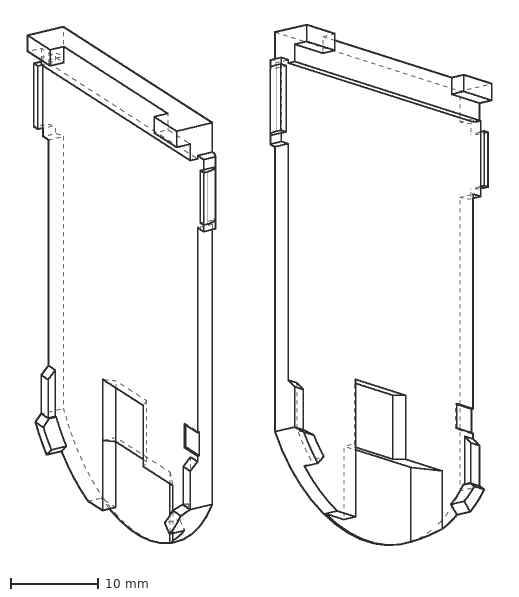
import cadquery as cq
import math

height = 57.1
width = 32.7
half_width = width / 2
plate_depth = 2.0

shoulder_z = 9.6
end_radius = (half_width**2 + shoulder_z**2) / (2 * shoulder_z)

head_height = 4.05
head_depth = 2.95
foot_height = 2.0
foot_width = 4.95
foot_depth = 4.8

clip_reach = 2.1
clip_radius = 2.0
flange_top = 53.4

recess_left = -4.45
recess_floor = 0.2
recess_top = 10.4
deep_ramp_start = 7.4
deep_ramp_end = 10.9
end_relief_top = 1.65
shallow_right = 4.45
shallow_top = 18.0
shallow_depth = 1.1

notch_size = 2.9
notch_bottom = 16.05
notch_depth = 0.2

rib_width = 1.55
rib_depth = 2.95
rib_top = 15.35
lug_thickness = 1.5
lug_depth = 4.0
lug_slope_height = 0.7
lug_end_angle = math.radians(46)


def box(x_min, x_max, y_min, y_max, z_min, z_max):
    size = (x_max - x_min, y_max - y_min, z_max - z_min)
    return cq.Workplane("XY").box(*size, centered=False).translate((x_min, y_min, z_min))


def prism_along_z(points, z_min, z_max):
    profile = cq.Workplane("XY", origin=(0, 0, z_min)).polyline(points).close()
    return profile.extrude(z_max - z_min)


def prism_along_x(points, x_min, x_max):
    profile = cq.Workplane("YZ", origin=(x_min, 0, 0)).polyline(points).close()
    return profile.extrude(x_max - x_min)


def make_plate():
    outline = (
        cq.Workplane("XZ")
        .moveTo(-half_width, height)
        .lineTo(-half_width, shoulder_z)
        .threePointArc((0, 0), (half_width, shoulder_z))
        .lineTo(half_width, height)
        .close()
    )
    return outline.extrude(plate_depth)


def make_head():
    head = box(-half_width, half_width, -head_depth, 0, height - head_height, height)
    for x_min in (-half_width, half_width - foot_width):
        head = head.union(box(x_min, x_min + foot_width, -foot_depth, 0, height - foot_height, height))
    return head


def make_clip(flange_bottom, hook_bottom, hook_top, hook_width, hook_depth):
    """Clip on the +X edge: a flange and a longer hook under one rounded back corner."""
    outer = half_width + clip_reach
    hook_inner = outer - hook_width
    flange = box(half_width, hook_inner, -plate_depth, 0, flange_bottom, flange_top)
    hook = box(hook_inner, outer, -hook_depth, 0, hook_bottom, hook_top)
    envelope = box(half_width - clip_reach, outer, -hook_depth, 0, flange_bottom, flange_top)
    envelope = envelope.edges("|Z and >X and >Y").fillet(clip_radius)
    return flange.union(hook).intersect(envelope)


def make_deep_recess():
    profile = [
        (recess_left, -plate_depth),
        (recess_left, -recess_floor),
        (deep_ramp_start, -recess_floor),
        (deep_ramp_end, -plate_depth),
    ]
    return prism_along_z(profile, 0, recess_top)


def make_end_relief():
    return box(-half_width, deep_ramp_start, -plate_depth, -recess_floor, 0, end_relief_top)


def make_shallow_recess():
    floor_y = shallow_depth - plate_depth
    profile = [
        (recess_left, -plate_depth),
        (recess_left + shallow_depth, floor_y),
        (shallow_right - shallow_depth, floor_y),
        (shallow_right, -plate_depth),
    ]
    return prism_along_z(profile, recess_top, shallow_top)


def make_notch():
    return box(
        half_width - notch_size, half_width,
        -plate_depth, notch_depth - plate_depth,
        notch_bottom, notch_bottom + notch_size,
    )


def make_rib():
    """Rib on the +X edge with a 45 degree upper end."""
    profile = [
        (0, shoulder_z),
        (0, rib_top),
        (-plate_depth, rib_top),
        (-rib_depth, rib_top - (rib_depth - plate_depth)),
        (-rib_depth, shoulder_z),
    ]
    return prism_along_x(profile, half_width - rib_width, half_width)


def point_on_end_arc(radius, angle):
    """X and Z of a point concentric with the rounded end, at an angle from straight down."""
    return radius * math.sin(angle), end_radius - radius * math.cos(angle)


def make_lug():
    """Lug following the rounded end on the +X side, with a sloped upper end."""
    inner_radius = end_radius - lug_thickness
    outer_start_angle = math.asin(half_width / end_radius)
    inner_start_angle = math.acos((end_radius - shoulder_z) / inner_radius)
    outline = (
        cq.Workplane("XZ")
        .moveTo(*point_on_end_arc(end_radius, outer_start_angle))
        .threePointArc(
            point_on_end_arc(end_radius, (outer_start_angle + lug_end_angle) / 2),
            point_on_end_arc(end_radius, lug_end_angle),
        )
        .lineTo(*point_on_end_arc(inner_radius, lug_end_angle))
        .threePointArc(
            point_on_end_arc(inner_radius, (inner_start_angle + lug_end_angle) / 2),
            point_on_end_arc(inner_radius, inner_start_angle),
        )
        .close()
    )
    lug = outline.extrude(lug_depth)
    slope = prism_along_x(
        [
            (-rib_depth, shoulder_z),
            (-lug_depth, shoulder_z - lug_slope_height),
            (-lug_depth, shoulder_z),
        ],
        0,
        half_width,
    )
    return lug.cut(slope)


left_clip = make_clip(
    flange_bottom=43.45, hook_bottom=44.45, hook_top=52.35, hook_width=0.9, hook_depth=2.7
).mirror("YZ")
right_clip = make_clip(
    flange_bottom=44.45, hook_bottom=45.65, hook_top=52.15, hook_width=0.75, hook_depth=2.45
)

result = make_plate().union(make_head()).union(left_clip).union(right_clip)
for cutter in (make_deep_recess(), make_end_relief(), make_shallow_recess(), make_notch()):
    result = result.cut(cutter)

edge_feature = make_rib().union(make_lug())
result = result.union(edge_feature).union(edge_feature.mirror("YZ"))